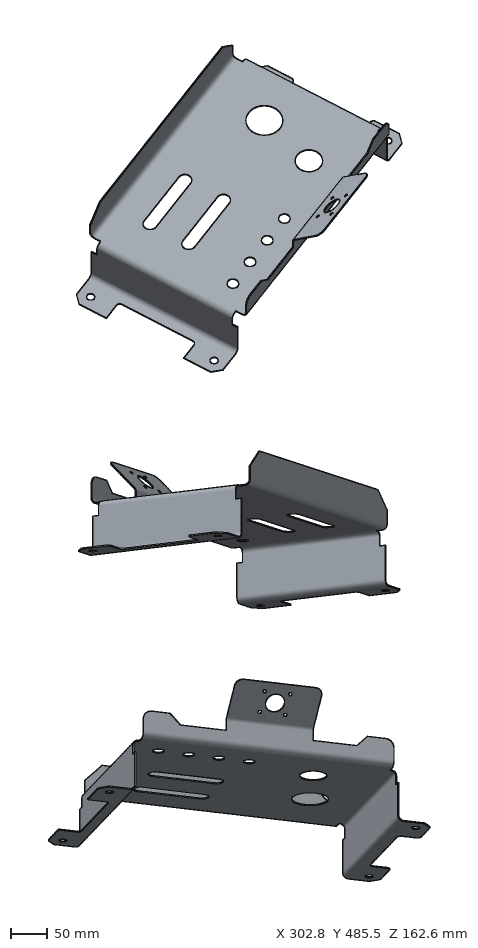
import cadquery as cq
import math

sheet = 1.75
bend_radius = 7.0
bend_mid = bend_radius + sheet / 2
bend_outside = bend_radius + sheet

foot_span = 485.5
tray_width = 258.3
tray_length = 366.0
deck_top = 78.0
left_wall_top = 128.5
right_wall_top = 116.5

round_openings = [(-31.5, 114.0, 51.0), (58.0, 89.0, 38.0)]
hole_row_x = 82.5
hole_row_first_y = -13.0
hole_row_pitch = 44.0
hole_row_count = 4
hole_row_diameter = 16.0
slot_xs = (-69.5, -6.0)
slot_y = -76.0
slot_length = 108.5
slot_width = 19.5

left_wall_chamfer = 25.2
right_wall_radius = 12.0
dip_depth = 15.5
dip_half_length = 144.0

tab_width = 127.0
tab_y = 1.5
tab_bend_start = 114.0
tab_reach = 60.0
tab_tilt = 45
tab_corner_radius = 11.0
connector_diameter = 27.0
connector_from_tip = 30.0
screw_diameter = 4.75
screw_spacing_along = 32.0
screw_spacing_across = 37.5

leg_width = 241.0
neck_width = 222.5
shoulder_height = 57.0
leg_bend_start = 184.5
foot_chamfer = 12.0
foot_gap_width = 127.0
foot_gap_depth = 31.5
foot_gap_radius = 5.5
foot_hole_diameter = 11.0
foot_hole_x = 101.5
foot_hole_y = 224.0

deck_mid = deck_top - sheet / 2
wall_mid_x = (tray_width - sheet) / 2


def folded_sheet(plane, start, heading, moves, width):
    """Strip folded along its middle line, centred on the plane.

    Each move is a straight length and the turn in degrees that follows it. A turn adds two
    stations, the middle and the end of its arc.
    """
    x, y = start
    angle = math.radians(heading)
    stations = [(x, y, angle)]
    is_bend = []

    def advance(distance, direction, new_angle, bend):
        nonlocal x, y, angle
        x += distance * math.cos(direction)
        y += distance * math.sin(direction)
        angle = new_angle
        stations.append((x, y, angle))
        is_bend.append(bend)

    for length, turn in moves:
        advance(length, angle, angle, False)
        if turn:
            half_turn = math.radians(turn) / 2
            chord = 2 * bend_mid * math.sin(abs(half_turn) / 2)
            advance(chord, angle + half_turn / 2, angle + half_turn, True)
            advance(chord, angle + half_turn / 2, angle + half_turn, True)

    def face_points(side):
        offset = side * sheet / 2
        return [(px - offset * math.sin(a), py + offset * math.cos(a)) for px, py, a in stations]

    def trace(outline, points, bends):
        i = 0
        while i < len(bends):
            if bends[i]:
                outline = outline.threePointArc(points[i + 1], points[i + 2])
                i += 2
            else:
                outline = outline.lineTo(*points[i + 1])
                i += 1
        return outline

    near = face_points(-1)
    far = face_points(1)[::-1]
    outline = trace(cq.Workplane(plane).moveTo(*near[0]), near, is_bend)
    outline = trace(outline.lineTo(*far[0]), far, is_bend[::-1])
    return outline.close().extrude(width / 2, both=True)


def corner_cut(plane, corner, size_u, size_v, reach):
    """Triangular cutter that chamfers an outline corner; the signs of the sizes point inward."""
    u, v = corner
    outline = cq.Workplane(plane).polyline([(u, v), (u + size_u, v), (u, v + size_v)])
    return outline.close().extrude(reach, both=True)


def make_tray():
    """Deck with its two long walls."""
    floor_length = 2 * (wall_mid_x - bend_mid)
    wall_bottom = deck_mid + bend_mid
    tray = folded_sheet(
        "XZ",
        (-wall_mid_x, left_wall_top),
        -90,
        [(left_wall_top - wall_bottom, 90), (floor_length, 90), (right_wall_top - wall_bottom, 0)],
        tray_length,
    )
    left_plane = cq.Workplane("YZ", origin=(-wall_mid_x, 0, 0)).plane
    for side in (-1, 1):
        corner = (side * tray_length / 2, left_wall_top)
        chamfer = corner_cut(left_plane, corner, -side * left_wall_chamfer, -left_wall_chamfer, sheet)
        tray = tray.cut(chamfer)
    right_corners = cq.selectors.BoxSelector(
        (wall_mid_x - sheet, -tray_length, right_wall_top - sheet),
        (wall_mid_x + sheet, tray_length, right_wall_top + sheet),
    )
    tray = tray.edges(right_corners).edges("|X").fillet(right_wall_radius)
    return tray.cut(right_wall_dip())


def right_wall_dip():
    """Cutter for the lowered stretch of the right wall."""
    low_half = dip_half_length - dip_depth
    low = right_wall_top - dip_depth
    outline = cq.Workplane("YZ", origin=(wall_mid_x, 0, 0)).polyline(
        [
            (-dip_half_length, right_wall_top),
            (-low_half, low),
            (low_half, low),
            (dip_half_length, right_wall_top),
        ]
    )
    return outline.close().extrude(sheet, both=True)


def make_tab():
    """Part of the right wall that rises through the dip and bends outward."""
    start_height = deck_mid + bend_mid
    tab = folded_sheet(
        "XZ",
        (wall_mid_x, start_height),
        90,
        [(tab_bend_start - start_height, -tab_tilt), (tab_reach, 0)],
        tab_width,
    )
    tilt = math.radians(tab_tilt)
    tip_x = wall_mid_x + bend_mid * (1 - math.cos(tilt)) + tab_reach * math.sin(tilt)
    tip_z = tab_bend_start + bend_mid * math.sin(tilt) + tab_reach * math.cos(tilt)
    slope = cq.Plane(
        origin=(tip_x, 0, tip_z),
        xDir=(0, 1, 0),
        normal=(math.cos(tilt), 0, -math.sin(tilt)),
    )
    connector = cq.Workplane(slope).center(0, -connector_from_tip).circle(connector_diameter / 2)
    screws = (
        cq.Workplane(slope)
        .center(0, -connector_from_tip)
        .rect(screw_spacing_across, screw_spacing_along, forConstruction=True)
        .vertices()
        .circle(screw_diameter / 2)
    )
    tab = tab.cut(connector.extrude(sheet, both=True)).cut(screws.extrude(sheet, both=True))
    tip_corners = cq.selectors.BoxSelector(
        (tip_x - sheet, -tab_width, tip_z - sheet), (tip_x + sheet, tab_width, tip_z + sheet)
    )
    tab = tab.edges(tip_corners).edges(cq.selectors.ParallelDirSelector(slope.zDir))
    return tab.fillet(tab_corner_radius).translate((0, tab_y, 0))


def deck_openings():
    """Cutter for the round holes and slots of the deck."""
    base = cq.Workplane("XY", origin=(0, 0, deck_mid))
    row = [(hole_row_x, hole_row_first_y - i * hole_row_pitch) for i in range(hole_row_count)]
    cutter = base.pushPoints(row).circle(hole_row_diameter / 2).extrude(sheet, both=True)
    for x, y, diameter in round_openings:
        cutter = cutter.union(base.center(x, y).circle(diameter / 2).extrude(sheet, both=True))
    slots = base.pushPoints([(x, slot_y) for x in slot_xs]).slot2D(slot_length, slot_width, 90)
    return cutter.union(slots.extrude(sheet, both=True))


def make_leg():
    """Leg and foot on the +Y side, overlapping the deck a little so that they join."""
    root = tray_length / 2 - bend_outside
    foot_start = leg_bend_start + 2 * bend_mid
    drop = (deck_mid - sheet / 2) - 2 * bend_mid
    leg = folded_sheet(
        "YZ",
        (root, deck_mid),
        0,
        [(leg_bend_start - root, -90), (drop, 90), (foot_span / 2 - foot_start, 0)],
        leg_width,
    )
    shoulder_cut = (leg_width - neck_width) / 2
    notch = cq.Workplane("XY").box(shoulder_cut, foot_span, deck_top, centered=(True, True, False))
    gap = (
        cq.Workplane("XY")
        .center(0, foot_span / 2)
        .rect(foot_gap_width, 2 * foot_gap_depth)
        .extrude(sheet)
        .edges("|Z")
        .fillet(foot_gap_radius)
    )
    leg = leg.cut(gap)
    for side in (-1, 1):
        leg = leg.cut(notch.translate((side * (neck_width + shoulder_cut) / 2, 0, shoulder_height)))
        corner = (side * leg_width / 2, foot_span / 2)
        leg = leg.cut(corner_cut("XY", corner, -side * foot_chamfer, -foot_chamfer, sheet))
    holes = cq.Workplane("XY").pushPoints([(-foot_hole_x, foot_hole_y), (foot_hole_x, foot_hole_y)])
    return leg.cut(holes.circle(foot_hole_diameter / 2).extrude(sheet))


leg = make_leg()
front_leg = leg.mirror("XZ")
gap_mouth = cq.selectors.BoxSelector(
    (-foot_gap_width / 2 - sheet, foot_span / 2 - sheet, -sheet),
    (foot_gap_width / 2 + sheet, foot_span / 2 + sheet, bend_radius),
)
back_leg = leg.edges(gap_mouth).edges("|Z").fillet(foot_gap_radius)

result = make_tray().union(make_tab()).union(front_leg).union(back_leg).cut(deck_openings())